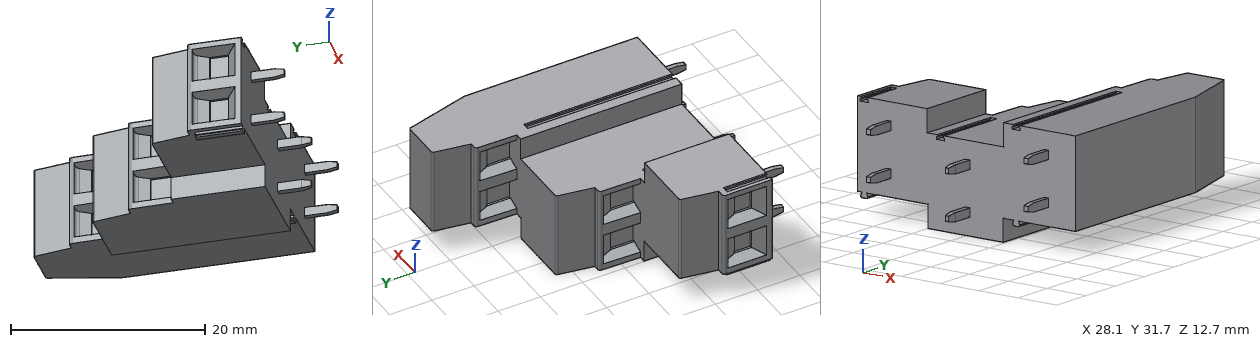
import cadquery as cq


overall_length = 31.7
pick_margin = 0.03

pole_pitch = 5.07
outer_height = 2 * pole_pitch
middle_drop = 2.57
middle_top = outer_height - middle_drop
level_step_x = 9.81
level_step_y = 9.07

body_width = 28.1
wall_lean = 0.1
shelf_y = 5.8
shelf_end_x = 0.98
head_y = 10.02
head_start_x = 1.68
shelf_round = 0.32
head_round = 0.25
back_slope_start_y = 20.48
back_slope_end_x = 26.05

upper_step_left_x = 8.97
upper_step_right_x = 18.83
lower_step_left_x = 9.07
lower_step_right_x = 18.77

entry_y_min = 0.65
entry_y_max = 5.25
entry_height = 3.75
entry_floor_z = 0.7
entry_taper = 0.5
entry_shoulder = 0.75
entry_corner_round = 0.55
funnel_depth = 1.3
seat_depth = 1.55
seat_y_min = 1.75
seat_y_max = 3.75

pin_first_x = 4.05
pin_pitch_x = 10.15
pin_height = 0.98
pin_tip_height = 0.6
pin_taper_length = 1.0
pin_root = 0.63
outer_pin_width = 0.55
outer_pin_length = 3.5
middle_pin_width = 0.63
middle_pin_tip_width = 0.4
middle_pin_length = overall_length - (head_y + 2 * level_step_y)

groove_depth = 0.5
groove_throat_depth = 0.1
groove_shoulder_depth = 0.3
groove_mouth_width = 0.8
groove_throat_width = 0.57
groove_base_width = 1.0
rail_height = 0.6
rail_head_top = 0.38
rail_head_bottom = 0.48
rail_neck_width = 0.63
rail_head_width = 0.92
rail_tip_width = 0.6
rail_center_x = [0.85, 10.68, 20.45]
rail_length = [5.05, 9.05, 17.53]


def slab(points, z_bottom, z_top):
    """Closed XY outline extruded between two heights."""
    return cq.Workplane("XY").workplane(offset=z_bottom).polyline(points).close().extrude(z_top - z_bottom)


def block(x_min, x_max, y_min, y_max, z_min, z_max):
    return cq.Workplane("XY").box(
        x_max - x_min, y_max - y_min, z_max - z_min, centered=False
    ).translate((x_min, y_min, z_min))


def level_start(level):
    """Front corner of a level: entry face X and Y offset."""
    return level * level_step_x, level * level_step_y


def head_top(level):
    return head_y + level * level_step_y


def level_z(level):
    """Bottom of a level."""
    return -middle_drop if level == 1 else 0


def step_points(level):
    """Entry wall, shelf and sloped head of one level."""
    x, y = level_start(level)
    lean = wall_lean if level > 0 else 0
    wall_bottom = head_top(level - 1) if level > 0 else 0
    return [
        (x, wall_bottom),
        (x + lean, y + shelf_y),
        (x + shelf_end_x, y + shelf_y),
        (x + head_start_x, y + head_y),
    ]


def round_upright_edge(solid, x, y, radius):
    """Round the vertical edges standing at one XY point."""
    low = (x - pick_margin, y - pick_margin, -2 * outer_height)
    high = (x + pick_margin, y + pick_margin, 2 * outer_height)
    return solid.edges("|Z").edges(cq.selectors.BoxSelector(low, high)).fillet(radius)


def round_step(solid, level):
    """Round the shelf nose and the head nose of one level."""
    _, shelf_nose, _, head_nose = step_points(level)
    solid = round_upright_edge(solid, *shelf_nose, shelf_round)
    return round_upright_edge(solid, *head_nose, head_round)


def make_housing():
    upper_outline = [
        *step_points(0),
        (level_step_x, head_top(0)),
        *step_points(1)[1:],
        (2 * level_step_x, head_top(1)),
        *step_points(2)[1:],
        (back_slope_end_x, head_top(2)),
        (body_width, back_slope_start_y),
        (body_width, 0),
    ]
    upper = slab(upper_outline, 0, outer_height)
    for level in range(3):
        upper = round_step(upper, level)
    upper = round_upright_edge(upper, back_slope_end_x, head_top(2), head_round)
    upper = upper.cut(
        block(upper_step_left_x, upper_step_right_x, 0, head_top(1), middle_top, outer_height)
    )

    lower_outline = [
        (lower_step_left_x, 0),
        (lower_step_left_x, head_top(0)),
        *step_points(1),
        (lower_step_right_x, head_top(1)),
        (lower_step_right_x, 0),
    ]
    lower = round_step(slab(lower_outline, -middle_drop, 0), 1)
    return upper.union(lower)


def make_entry(mouth_y_min, base_y_min):
    """Tapered wire funnel with a rectangular seat; its mouth lies at X=0 and its floor edge at Z=0.

    mouth_y_min and base_y_min are the -Y limits at the mouth and at the funnel base.
    """
    plan = slab(
        [
            (0, mouth_y_min),
            (0, entry_y_max),
            (entry_shoulder, entry_y_max),
            (funnel_depth, seat_y_max),
            (funnel_depth, base_y_min),
        ],
        0,
        entry_height,
    )
    plan = round_upright_edge(plan, entry_shoulder, entry_y_max, entry_corner_round)
    taper = (
        cq.Workplane("XZ")
        .polyline([
            (0, 0),
            (0, entry_height),
            (funnel_depth, entry_height - entry_taper),
            (funnel_depth, entry_taper),
        ])
        .close()
        .extrude(-2 * entry_y_max)
    )
    seat = block(
        funnel_depth, seat_depth, base_y_min, seat_y_max, entry_taper, entry_height - entry_taper
    )
    return plan.intersect(taper).union(seat)


def make_pin(width, tip_width, length):
    """Flat pin along -Y from the housing face, with a tapered tip."""
    shank_end = length - pin_taper_length
    shank = block(-width / 2, width / 2, -shank_end, pin_root, -pin_height / 2, pin_height / 2)
    tip = (
        cq.Workplane("XZ", origin=(0, -shank_end, 0))
        .rect(width, pin_height)
        .workplane(offset=pin_taper_length)
        .rect(tip_width, pin_tip_height)
        .loft()
    )
    return shank.union(tip)


def mirrored_profile(half_points, length):
    """Profile symmetric about X=0, extruded from the housing face toward +Y."""
    other_half = [(-x, z) for x, z in reversed(half_points)]
    return cq.Workplane("XZ").polyline(half_points + other_half).close().extrude(-length)


def make_groove(length):
    """Dovetail groove with a flared mouth, hanging below Z=0."""
    half = [
        (groove_mouth_width / 2, 0),
        (groove_throat_width / 2, -groove_throat_depth),
        (groove_base_width / 2, -groove_shoulder_depth),
        (groove_base_width / 2, -groove_depth),
    ]
    return mirrored_profile(half, length)


def make_rail(length):
    """Dovetail rail with a chamfered head, hanging below Z=0."""
    half = [
        (rail_neck_width / 2, 0),
        (rail_head_width / 2, -rail_head_top),
        (rail_head_width / 2, -rail_head_bottom),
        (rail_tip_width / 2, -rail_height),
    ]
    return mirrored_profile(half, length)


result = make_housing()

flush_y = head_y - level_step_y
first_entry = make_entry(entry_y_min, seat_y_min)
raised_entry = make_entry(flush_y, flush_y)
outer_pin = make_pin(outer_pin_width, outer_pin_width, outer_pin_length)
middle_pin = make_pin(middle_pin_width, middle_pin_tip_width, middle_pin_length)

for level in range(3):
    face_x, front_y = level_start(level)
    bottom_z = level_z(level)
    entry = first_entry if level == 0 else raised_entry
    pin = middle_pin if level == 1 else outer_pin
    pin_x = pin_first_x + level * pin_pitch_x
    for pole in range(2):
        pole_z = bottom_z + pole * pole_pitch
        result = result.cut(entry.translate((face_x, front_y, pole_z + entry_floor_z)))
        result = result.union(pin.translate((pin_x, 0, pole_z + pole_pitch / 2)))

    groove = make_groove(rail_length[level])
    result = result.cut(groove.translate((rail_center_x[level], 0, bottom_z + outer_height)))

for level in (0, 2):
    result = result.union(make_rail(rail_length[level]).translate((rail_center_x[level], 0, 0)))